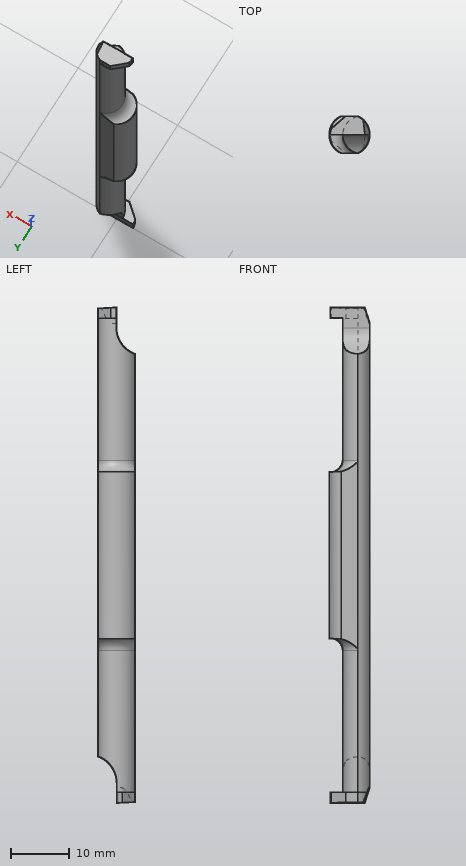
import cadquery as cq
import math


length = 85.0
half_length = length / 2
bar_radius = 3.5
bar_thickness = 6.4
half_thickness = bar_thickness / 2
flat_half_width = math.sqrt(bar_radius**2 - half_thickness**2)

neck_left = -1.2
neck_sagitta = flat_half_width - neck_left
neck_radius = (neck_sagitta**2 + half_thickness**2) / (2 * neck_sagitta)
neck_center = neck_left + neck_radius
grip_half_length = 14.3
neck_fillet = 2.0

chip_face_length = 3.5
scoop_length = 8.0
scoop_run = scoop_length - chip_face_length
scoop_radius = (scoop_run**2 + half_thickness**2) / (2 * half_thickness)

tip_height = 1.9
tip_left = -3.3
tip_land = 0.25
facet_setback = 0.2
facet_left = tip_left + facet_setback
facet_depth = 1.0
hook_flat_left = -0.7

end_relief = 0.2
side_relief_width = 0.85
side_relief_height = 2.7
side_relief_angle = 7.0

clearance = 10.2


def bar_blank():
    blank = cq.Workplane("XY").circle(bar_radius).extrude(length)
    slab = cq.Workplane("XY").rect(clearance, bar_thickness).extrude(length)
    return blank.intersect(slab).translate((0, 0, -half_length))


def neck_cutter():
    """Ring around the upper neck with a fillet at the grip shoulder."""
    outer = neck_radius + clearance
    diagonal = neck_fillet * (1 - math.sqrt(0.5))
    fillet_top = grip_half_length + neck_fillet
    ring = (
        cq.Workplane("XZ")
        .moveTo(neck_radius, half_length - tip_height)
        .lineTo(neck_radius, fillet_top)
        .threePointArc(
            (neck_radius + diagonal, grip_half_length + diagonal),
            (neck_radius + neck_fillet, grip_half_length),
        )
        .lineTo(outer, grip_half_length)
        .lineTo(outer, half_length - tip_height)
        .close()
        .revolve(360, (0, 0, 0), (0, 1, 0))
        .translate((neck_center, 0, 0))
    )
    left_side = cq.Workplane("XY").box(
        clearance, clearance, length, centered=(False, True, True)
    ).translate((flat_half_width - clearance, 0, 0))
    return ring.intersect(left_side)


def scoop_cutter():
    """Flat chip face at Y = 0, running into a concave arc on the -Y side."""
    fold = half_length - chip_face_length
    half_angle = math.asin(scoop_run / scoop_radius) / 2
    arc_middle = (
        -scoop_radius * (1 - math.cos(half_angle)),
        fold - scoop_radius * math.sin(half_angle),
    )
    return (
        cq.Workplane("YZ")
        .moveTo(0, half_length)
        .lineTo(0, fold)
        .threePointArc(arc_middle, (-half_thickness, half_length - scoop_length))
        .lineTo(-half_thickness, half_length)
        .close()
        .extrude(clearance, both=True)
    )


def hook_cutter():
    """Material outside the hook's facets, over the height of the tip."""
    return (
        cq.Workplane("XY", origin=(0, 0, half_length - tip_height))
        .moveTo(tip_left, 0)
        .lineTo(tip_left, tip_land)
        .lineTo(facet_left, facet_depth)
        .lineTo(hook_flat_left, half_thickness)
        .lineTo(-clearance, half_thickness)
        .lineTo(-clearance, 0)
        .close()
        .extrude(tip_height)
    )


def end_relief_cutter():
    return (
        cq.Workplane("YZ")
        .moveTo(0, half_length)
        .lineTo(half_thickness, half_length)
        .lineTo(half_thickness, half_length - end_relief)
        .close()
        .extrude(clearance, both=True)
    )


def side_relief_cutter():
    """Sloping plane across the +X corner, swung back behind the chip face."""
    wedge = (
        cq.Workplane("XZ")
        .moveTo(bar_radius - side_relief_width, half_length)
        .lineTo(bar_radius, half_length - side_relief_height)
        .lineTo(bar_radius + clearance, half_length - side_relief_height)
        .lineTo(bar_radius + clearance, half_length)
        .close()
        .extrude(clearance, both=True)
    )
    return wedge.rotate((bar_radius, 0, 0), (bar_radius, 0, 1), side_relief_angle)


def turned(shape):
    """The lower-end copy of an upper-end shape."""
    return shape.rotate((0, 0, 0), (1, 0, 0), 180)


def finished_bar():
    bar = bar_blank()
    cutters = (
        neck_cutter(),
        scoop_cutter(),
        hook_cutter(),
        end_relief_cutter(),
        side_relief_cutter(),
    )
    for cutter in cutters:
        bar = bar.cut(cutter).cut(turned(cutter))
    return bar


lower_tip_space = cq.Workplane("XY", origin=(0, 0, -half_length)).rect(
    2 * clearance, 2 * clearance
).extrude(tip_height)
bar = finished_bar()
shank = bar.cut(lower_tip_space)
lower_tip = bar.intersect(lower_tip_space)

result = cq.Compound.makeCompound([shank.val(), lower_tip.val()])